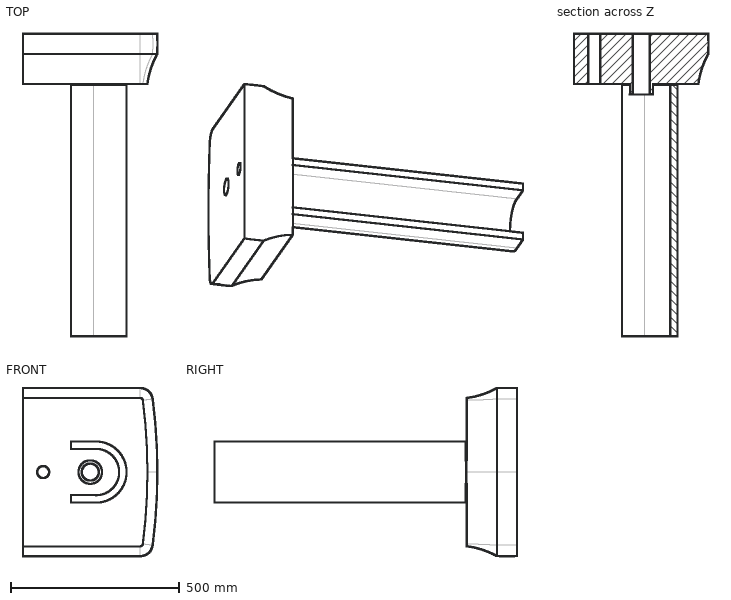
import cadquery as cq
import math

HEAD_LENGTH = 400.0
HEAD_HEIGHT = 501.18
HEAD_DEPTH = 150.0
END_RADIUS = 1700.0
CORNER_RADIUS = 38.0

BAND_DEPTH = 60.0
BAND_CROWN = 0.59
FLARE_INSET = 29.4
FLARE_RADIUS = 250.0

PIN_HOLE_X = 60.0
PIN_HOLE_DIAMETER = 35.0
BORE_X = 200.0
BORE_DIAMETER = 50.0
COLLAR_DIAMETER = 70.0
COLLAR_LENGTH = 30.0

OVERALL_DEPTH = 900.0
ARM_GAP = 2.0
ARM_CENTRE_X = 217.0
ARM_OUTER_RADIUS = 91.0
ARM_WALL = 22.0
ARM_OPEN_X = 142.0
ARM_BEND_X = 209.0

HALF_HEIGHT = HEAD_HEIGHT / 2
ARM_INNER_RADIUS = ARM_OUTER_RADIUS - ARM_WALL


def head_outline():
    """Open XZ path: straight top, rounded corners, right end bowed in two halves, straight bottom."""
    arc_centre_x = HEAD_LENGTH - END_RADIUS
    corner_z = HALF_HEIGHT - CORNER_RADIUS
    reach = END_RADIUS - CORNER_RADIUS
    corner_x = arc_centre_x + math.sqrt(reach**2 - corner_z**2)
    end_angle = math.asin(corner_z / reach)
    mid_angle = (math.pi / 2 + end_angle) / 2

    end_x = arc_centre_x + END_RADIUS * math.cos(end_angle)
    end_z = END_RADIUS * math.sin(end_angle)
    mid_x = corner_x + CORNER_RADIUS * math.cos(mid_angle)
    mid_z = corner_z + CORNER_RADIUS * math.sin(mid_angle)

    bow_x = arc_centre_x + END_RADIUS * math.cos(end_angle / 2)
    bow_z = END_RADIUS * math.sin(end_angle / 2)

    return (
        cq.Workplane("XZ")
        .moveTo(0, HALF_HEIGHT)
        .lineTo(corner_x, HALF_HEIGHT)
        .threePointArc((mid_x, mid_z), (end_x, end_z))
        .threePointArc((bow_x, bow_z), (HEAD_LENGTH, 0))
        .threePointArc((bow_x, -bow_z), (end_x, -end_z))
        .threePointArc((mid_x, -mid_z), (corner_x, -HALF_HEIGHT))
        .lineTo(0, -HALF_HEIGHT)
    )


def rim_cutter():
    """Material outside the crowned band and flare, swept along the outline."""
    margin = 10.0
    band_z = HALF_HEIGHT - BAND_CROWN
    front_z = band_z - FLARE_INSET
    profile = (
        cq.Workplane("YZ")
        .moveTo(0, band_z)
        .threePointArc((-BAND_DEPTH / 2, HALF_HEIGHT), (-BAND_DEPTH, band_z))
        .radiusArc((-HEAD_DEPTH, front_z), FLARE_RADIUS)
        .lineTo(-HEAD_DEPTH, HALF_HEIGHT + margin)
        .lineTo(0, HALF_HEIGHT + margin)
        .close()
    )
    return profile.sweep(head_outline().wire())


def cylinder(x, diameter, length):
    """Cylinder on the Z = 0 centre line, from the back face along -Y."""
    return cq.Workplane("XZ", origin=(x, 0, 0)).circle(diameter / 2).extrude(length)


def make_head():
    """Block with its shaped rim, the collar on the front face and the two through holes."""
    head = head_outline().close().extrude(HEAD_DEPTH).cut(rim_cutter())
    head = head.union(cylinder(BORE_X, COLLAR_DIAMETER, HEAD_DEPTH + COLLAR_LENGTH))
    for x, diameter in ((PIN_HOLE_X, PIN_HOLE_DIAMETER), (BORE_X, BORE_DIAMETER)):
        head = head.cut(cylinder(x, diameter, HEAD_DEPTH + COLLAR_LENGTH))
    return head


def make_arm():
    """U-shaped channel running along -Y from just in front of the head."""
    bend_offset = ARM_CENTRE_X - ARM_BEND_X
    outer_z = math.sqrt(ARM_OUTER_RADIUS**2 - bend_offset**2)
    inner_z = math.sqrt(ARM_INNER_RADIUS**2 - bend_offset**2)
    start_y = -HEAD_DEPTH - ARM_GAP
    return (
        cq.Workplane("XZ", origin=(0, start_y, 0))
        .moveTo(ARM_OPEN_X, outer_z)
        .lineTo(ARM_BEND_X, outer_z)
        .threePointArc((ARM_CENTRE_X + ARM_OUTER_RADIUS, 0), (ARM_BEND_X, -outer_z))
        .lineTo(ARM_OPEN_X, -outer_z)
        .lineTo(ARM_OPEN_X, -inner_z)
        .lineTo(ARM_BEND_X, -inner_z)
        .threePointArc((ARM_CENTRE_X + ARM_INNER_RADIUS, 0), (ARM_BEND_X, inner_z))
        .lineTo(ARM_OPEN_X, inner_z)
        .close()
        .extrude(OVERALL_DEPTH + start_y)
    )


head = make_head()
arm = make_arm()
result = cq.Compound.makeCompound([head.val(), arm.val()])